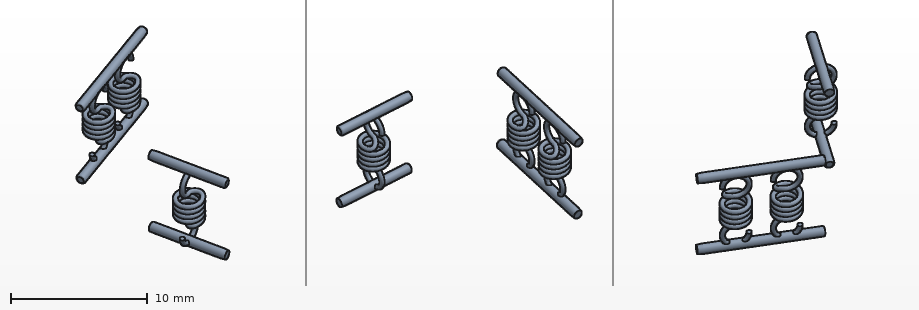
import cadquery as cq
import math

WIRE_DIAMETER = 0.4
COIL_RADIUS = 1.0
COIL_HEIGHT = 1.95
COIL_TURNS = 4
COIL_PITCH = COIL_HEIGHT / COIL_TURNS
COIL_RISE = COIL_PITCH / (2 * math.pi * COIL_RADIUS)
SPRING_Z = -0.13

HOOK_RADIUS = COIL_RADIUS
HOOK_CENTER_HEIGHT = 2.4
HOOK_START_HEIGHT = HOOK_CENTER_HEIGHT - HOOK_RADIUS

BEND_COIL_REACH = 0.44
BEND_HOOK_REACH = 0.35
BEND_FAR_CONTROL = (0.65, 1.38, 0.96)

PIN_DIAMETER = 0.8
PIN_RADIUS = PIN_DIAMETER / 2
PIN_Z = 3.57
LEAD_LENGTH = 0.44
LEAD_ANGLE = 5
LEAD_END_RADIUS = PIN_RADIUS - LEAD_LENGTH * math.tan(math.radians(LEAD_ANGLE))
LEAD_TURNS = {"+Y": 0, "-X": 90, "+X": -90}
ROUND_LENGTH = 0.16
ROUND_END_RADIUS = 0.28
ROUND_DROP = PIN_RADIUS - ROUND_END_RADIUS
ROUND_ARC_RADIUS = (ROUND_LENGTH**2 + ROUND_DROP**2) / (2 * ROUND_DROP)

DOUBLE_X = -6.06
DOUBLE_PIN_LENGTH = 9.56
DOUBLE_PIN_Y = 1.53
DOUBLE_PIN_SHIFT = 0.036
DOUBLE_SPRING_Y = 1.5
SPRING_SPACING = 3.8

SINGLE_SPRING_X = 4.1
SINGLE_SPRING_Y = -5.11
SINGLE_PIN_LENGTH = 6.4
SINGLE_PIN_X = 4.07
SINGLE_PIN_Y = -5.09


def sweep_wire(path, start, direction):
    """Sweep the round wire section along a path that leaves start in direction."""
    section = cq.Workplane(cq.Plane(origin=start, normal=direction)).circle(WIRE_DIAMETER / 2)
    return section.sweep(cq.Workplane(obj=path), isFrenet=True)


def make_coil():
    """Right-handed coil centred on the origin; both ends lie on the +X side."""
    bottom = -COIL_HEIGHT / 2
    helix = cq.Wire.makeHelix(COIL_PITCH, COIL_HEIGHT, COIL_RADIUS, center=cq.Vector(0, 0, bottom))
    return sweep_wire(helix, (COIL_RADIUS, 0, bottom), (0, 1, COIL_RISE))


def make_upper_bend():
    """Smooth bend from the top end of the coil inward to the start of the hook."""
    coil_end = (COIL_RADIUS, 0, COIL_HEIGHT / 2)
    controls = [
        coil_end,
        (COIL_RADIUS, BEND_COIL_REACH, COIL_HEIGHT / 2 + BEND_COIL_REACH * COIL_RISE),
        BEND_FAR_CONTROL,
        (0, BEND_HOOK_REACH, HOOK_START_HEIGHT),
        (0, 0, HOOK_START_HEIGHT),
    ]
    curve = cq.Edge.makeBezier([cq.Vector(*point) for point in controls])
    return sweep_wire(cq.Wire.assembleEdges([curve]), coil_end, (0, 1, COIL_RISE))


def make_upper_hook():
    """Hook that runs from the coil axis round -Y and over the top to the +Y side."""
    diagonal = HOOK_RADIUS * math.sqrt(0.5)
    arc = cq.Edge.makeThreePointArc(
        cq.Vector(0, 0, HOOK_START_HEIGHT),
        cq.Vector(0, -diagonal, HOOK_CENTER_HEIGHT + diagonal),
        cq.Vector(0, HOOK_RADIUS, HOOK_CENTER_HEIGHT),
    )
    return sweep_wire(cq.Wire.assembleEdges([arc]), (0, 0, HOOK_START_HEIGHT), (0, -1, 0))


def make_spring(x, y):
    """Coil with a bent hook at each end; the lower end is the upper one turned about X."""
    upper_end = make_upper_bend().union(make_upper_hook())
    lower_end = upper_end.rotate((0, 0, 0), (1, 0, 0), 180)
    return make_coil().union(upper_end).union(lower_end).translate((x, y, SPRING_Z))


def make_pin(length, center, lead_direction):
    """Pin centred at center, with its tapered lead end toward lead_direction."""
    half = length / 2
    round_start = half - ROUND_LENGTH
    arc_center_r = PIN_RADIUS - ROUND_ARC_RADIUS
    half_angle = math.asin(ROUND_LENGTH / ROUND_ARC_RADIUS) / 2
    arc_middle = (
        arc_center_r + ROUND_ARC_RADIUS * math.cos(half_angle),
        -round_start - ROUND_ARC_RADIUS * math.sin(half_angle),
    )
    profile = (
        cq.Workplane("XY")
        .moveTo(0, -half)
        .lineTo(ROUND_END_RADIUS, -half)
        .threePointArc(arc_middle, (PIN_RADIUS, -round_start))
        .lineTo(PIN_RADIUS, half - LEAD_LENGTH)
        .lineTo(LEAD_END_RADIUS, half)
        .lineTo(0, half)
        .close()
    )
    pin = profile.revolve(360, (0, 0), (0, 1))
    return pin.rotate((0, 0, 0), (0, 0, 1), LEAD_TURNS[lead_direction]).translate(center)


def make_double_assembly():
    """Two springs joined into one body with the pins that their hooks grip."""
    upper_pin = make_pin(DOUBLE_PIN_LENGTH, (DOUBLE_X - DOUBLE_PIN_SHIFT, DOUBLE_PIN_Y, PIN_Z), "+Y")
    lower_pin = make_pin(DOUBLE_PIN_LENGTH, (DOUBLE_X + DOUBLE_PIN_SHIFT, DOUBLE_PIN_Y, -PIN_Z), "+Y")
    body = upper_pin
    for side in (-1, 1):
        body = body.union(make_spring(DOUBLE_X, DOUBLE_SPRING_Y + side * SPRING_SPACING / 2))
    return body.union(lower_pin)


def make_single_assembly():
    """One spring joined into one body with its two pins, whose leads point opposite ways."""
    upper_pin = make_pin(SINGLE_PIN_LENGTH, (SINGLE_PIN_X, SINGLE_PIN_Y, PIN_Z), "-X")
    lower_pin = make_pin(SINGLE_PIN_LENGTH, (SINGLE_PIN_X, SINGLE_PIN_Y, -PIN_Z), "+X")
    return make_spring(SINGLE_SPRING_X, SINGLE_SPRING_Y).union(upper_pin).union(lower_pin)


double_assembly = make_double_assembly().solids()
single_assembly = make_single_assembly().solids()
result = cq.Compound.makeCompound([double_assembly.val(), single_assembly.val()])